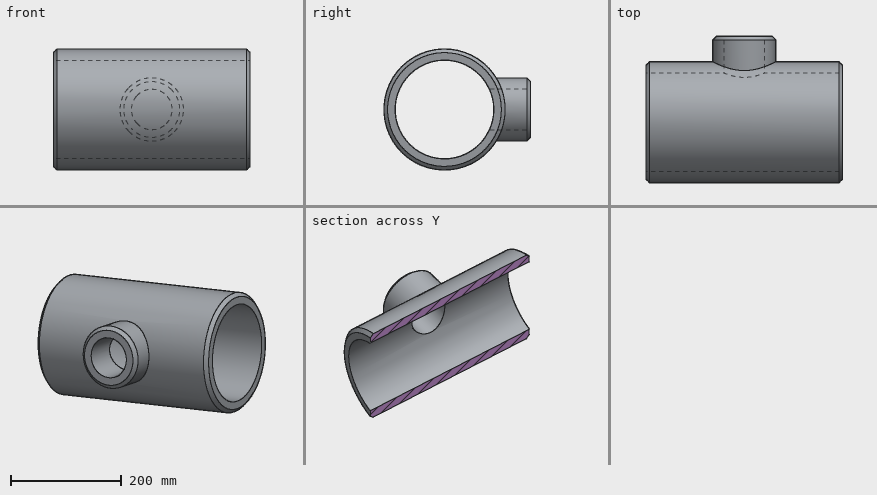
import cadquery as cq

run_length = 355.5
run_diameter = 219.0
run_bore = 177.8

overall_depth = 265.0
branch_reach = overall_depth - run_diameter / 2
branch_diameter = 114.5
wall = (run_diameter - run_bore) / 2
branch_bore = branch_diameter - 2 * wall

bevel = 6.8


def run_cylinder(diameter):
    """Cylinder along the full length of the main pipe."""
    return cq.Workplane("YZ").circle(diameter / 2).extrude(run_length / 2, both=True)


def branch_cylinder(diameter):
    """Cylinder from the main axis out to the branch end."""
    return cq.Workplane("XZ").circle(diameter / 2).extrude(-branch_reach)


run = run_cylinder(run_diameter).faces("<X or >X").chamfer(bevel)
branch = branch_cylinder(branch_diameter).faces(">Y").chamfer(bevel)

result = (
    run.union(branch)
    .cut(run_cylinder(run_bore))
    .cut(branch_cylinder(branch_bore))
)